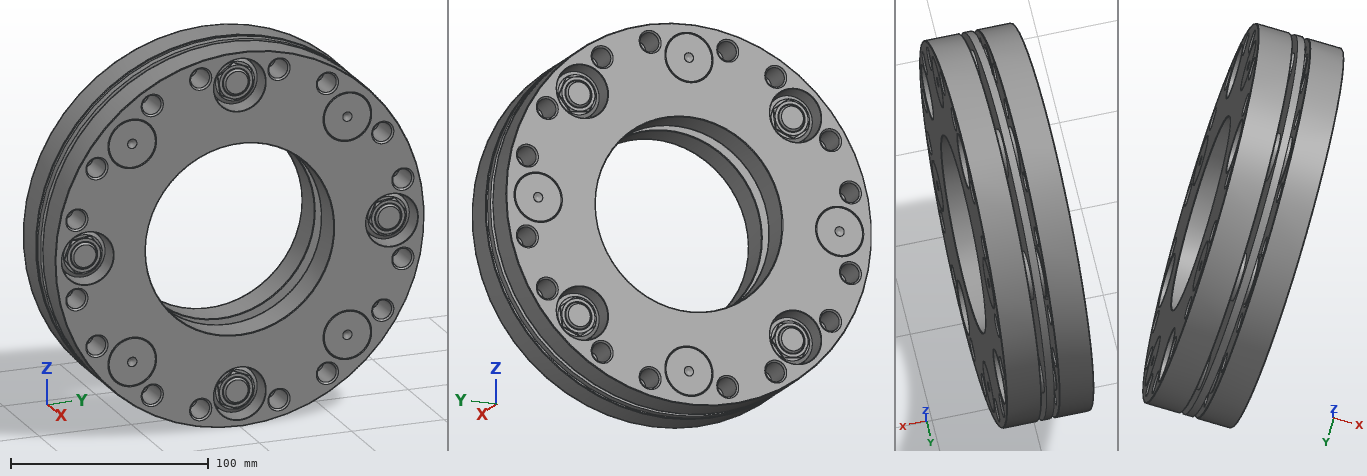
import cadquery as cq
import math

OUTER_DIAMETER = 200.0
TOTAL_WIDTH = 45.2
RING_WIDTH = 18.0
DISC_WIDTH = 4.0
RING_BORE = 102.0
DISC_BORE = 130.0
RING_CHAMFER = 0.5
MIDDLE = TOTAL_WIDTH / 2
GAP = MIDDLE - RING_WIDTH - DISC_WIDTH / 2

STATION_RADIUS = 82.5
SPACER_DIAMETER = 25.0
SPACER_CHAMFER = 0.5
STATION_COUNT = 8
STATION_PITCH = 360 / STATION_COUNT
PLUG_ANGLES = [2 * STATION_PITCH * i for i in range(STATION_COUNT // 2)]
NUT_ANGLES = [angle + STATION_PITCH for angle in PLUG_ANGLES]

PLUG_DIAMETER = 25.0
PLUG_GROOVE_DIAMETER = 26.5
PLUG_GROOVE_DEPTH = 0.5
CENTRE_DIAMETER = 5.0
CENTRE_DRILL_ANGLE = 130

CLEARANCE_HOLE = 28.0
HOLE_CHAMFER = 0.3
NUT_SIDES = 6
NUT_FLATS = 18.0
NUT_TURN = 7.5
NUT_HEIGHT = 12.8
NUT_CHAMFER_ANGLE = 30
NUT_COUNTERSINK = 14.8
COLLAR_DIAMETER = 25.0
COLLAR_TOP_DIAMETER = 21.0
COLLAR_RIM_HEIGHT = 10.0
COLLAR_CONE_HEIGHT = 1.2
BOLT_DIAMETER = 14.0
BOLT_TIP_DIAMETER = 12.0
BOLT_PROTRUSION = 1.2

TAPPED_RADIUS = 90.8
TAPPED_DIAMETER = 10.2
TAPPED_MOUTH = 12.0
TAPPED_HALF_SPREAD = 9.0


def place(shape, radius, angle):
    """Move a shape lying on the X axis to a polar position in the YZ plane."""
    return shape.translate((0, radius, 0)).rotate((0, 0, 0), (1, 0, 0), angle)


def rod(diameter, start, end):
    """Cylinder on the X axis from start to end."""
    return cq.Workplane("YZ", origin=(start, 0, 0)).circle(diameter / 2).extrude(end - start)


def turned(points):
    """Solid of revolution about the X axis from (x, radius) points."""
    return cq.Workplane("XY").polyline(points).close().revolve(360, (0, 0, 0), (1, 0, 0))


def chamfered_hole(diameter, mouth_diameter):
    """Cutter for a hole through a ring with a 45 degree chamfer at the outer face."""
    depth = (mouth_diameter - diameter) / 2
    radius = diameter / 2
    return turned([(0, 0), (0, mouth_diameter / 2), (depth, radius), (RING_WIDTH, radius), (RING_WIDTH, 0)])


def plug_cutter():
    """V groove around a plug and the conical centre hole in its face."""
    inner_radius = PLUG_DIAMETER / 2
    outer_radius = PLUG_GROOVE_DIAMETER / 2
    groove = turned([
        (0, inner_radius),
        (PLUG_GROOVE_DEPTH, (inner_radius + outer_radius) / 2),
        (0, outer_radius),
    ])
    centre_depth = CENTRE_DIAMETER / 2 / math.tan(math.radians(CENTRE_DRILL_ANGLE / 2))
    centre = turned([(0, 0), (0, CENTRE_DIAMETER / 2), (centre_depth, 0)])
    return groove.union(centre)


def collared_nut():
    """Hex nut on a cone-topped collar, with a bolt end, seated at the inner face of a ring."""
    top = RING_WIDTH - NUT_HEIGHT
    corner_radius = NUT_FLATS / 2 / math.cos(math.pi / NUT_SIDES)
    chamfer_depth = (corner_radius - NUT_FLATS / 2) * math.tan(math.radians(NUT_CHAMFER_ANGLE))
    hexagon = cq.Workplane("YZ", origin=(top, 0, 0))
    hexagon = hexagon.polygon(NUT_SIDES, 2 * corner_radius).extrude(NUT_HEIGHT)
    envelope = turned([
        (top, 0),
        (top, NUT_FLATS / 2),
        (top + chamfer_depth, corner_radius),
        (RING_WIDTH, corner_radius),
        (RING_WIDTH, 0),
    ])
    rim = RING_WIDTH - COLLAR_RIM_HEIGHT
    collar_top = rim - COLLAR_CONE_HEIGHT
    collar = turned([
        (collar_top, 0),
        (collar_top, COLLAR_TOP_DIAMETER / 2),
        (rim, COLLAR_DIAMETER / 2),
        (RING_WIDTH, COLLAR_DIAMETER / 2),
        (RING_WIDTH, 0),
    ])
    bolt = rod(BOLT_DIAMETER, top - BOLT_PROTRUSION, RING_WIDTH)
    bolt = bolt.faces("<X").chamfer((BOLT_DIAMETER - BOLT_TIP_DIAMETER) / 2)
    countersink_depth = (NUT_COUNTERSINK - BOLT_DIAMETER) / 2
    countersink = turned([
        (top, 0),
        (top, NUT_COUNTERSINK / 2),
        (top + countersink_depth, BOLT_DIAMETER / 2),
        (top + countersink_depth, 0),
    ])
    nut = hexagon.intersect(envelope).union(collar).cut(countersink).union(bolt)
    return nut.rotate((0, 0, 0), (1, 0, 0), NUT_TURN)


def flange_ring():
    """Ring with its outer face at X = 0, complete with plugs, nuts and tapped holes."""
    ring = rod(OUTER_DIAMETER, 0, RING_WIDTH).cut(rod(RING_BORE, 0, RING_WIDTH))
    ring = ring.faces("<X or >X").edges().chamfer(RING_CHAMFER)
    clearance = chamfered_hole(CLEARANCE_HOLE, CLEARANCE_HOLE + 2 * HOLE_CHAMFER)
    tapped = chamfered_hole(TAPPED_DIAMETER, TAPPED_MOUTH)
    for angle in PLUG_ANGLES:
        ring = ring.cut(place(plug_cutter(), STATION_RADIUS, angle))
    for angle in NUT_ANGLES:
        ring = ring.cut(place(clearance, STATION_RADIUS, angle))
        ring = ring.union(place(collared_nut(), STATION_RADIUS, angle))
    for station in range(STATION_COUNT):
        between = (station + 0.5) * STATION_PITCH
        for offset in (-TAPPED_HALF_SPREAD, TAPPED_HALF_SPREAD):
            ring = ring.cut(place(tapped, TAPPED_RADIUS, between + offset))
    return ring


def centre_disc():
    """Thin disc between the rings, carried by a spacer on each side of every station."""
    start = MIDDLE - DISC_WIDTH / 2
    end = MIDDLE + DISC_WIDTH / 2
    disc = rod(OUTER_DIAMETER, start, end).cut(rod(DISC_BORE, start, end))
    spacer = rod(SPACER_DIAMETER, start - GAP, end + GAP)
    spacer = spacer.faces("<X or >X").chamfer(SPACER_CHAMFER)
    for angle in PLUG_ANGLES + NUT_ANGLES:
        disc = disc.union(place(spacer, STATION_RADIUS, angle))
    return disc


near_ring = flange_ring()
far_ring = near_ring.mirror("YZ", (MIDDLE, 0, 0)).rotate((0, 0, 0), (1, 0, 0), STATION_PITCH)
result = centre_disc().union(near_ring).union(far_ring)